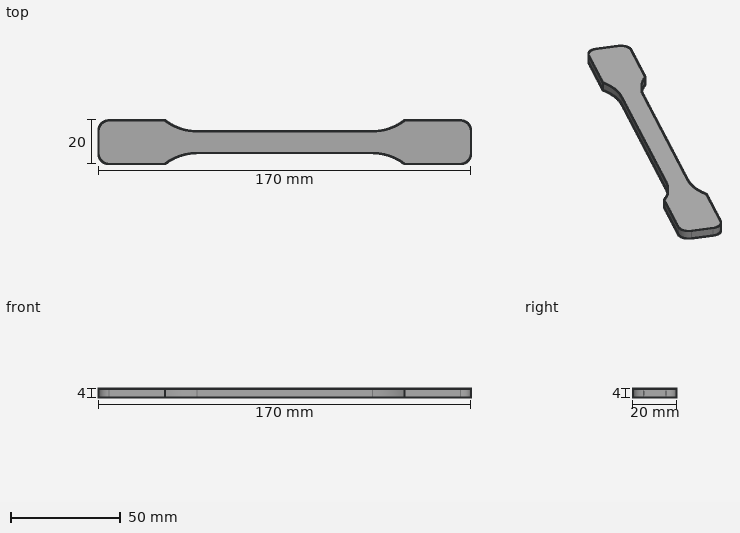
import cadquery as cq
import math

length = 170.0
grip_width = 20.0
thickness = 4.0

gauge_length = 80.0
gauge_width = 10.0
shoulder_radius = 24.0
corner_radius = 5.0

shoulder_rise = (grip_width - gauge_width) / 2
shoulder_angle = math.acos(1 - shoulder_rise / shoulder_radius)


def shoulder_point(side_x, side_y, angle):
    """Point on a shoulder arc, with the angle measured from its gauge end."""
    x = gauge_length / 2 + shoulder_radius * math.sin(angle)
    y = gauge_width / 2 + shoulder_radius * (1 - math.cos(angle))
    return (side_x * x, side_y * y)


def waist_cutter(side_y):
    """Solid that narrows one long edge between the two grips."""
    return (
        cq.Workplane("XY")
        .moveTo(*shoulder_point(-1, side_y, shoulder_angle))
        .threePointArc(
            shoulder_point(-1, side_y, shoulder_angle / 2),
            shoulder_point(-1, side_y, 0),
        )
        .lineTo(*shoulder_point(1, side_y, 0))
        .threePointArc(
            shoulder_point(1, side_y, shoulder_angle / 2),
            shoulder_point(1, side_y, shoulder_angle),
        )
        .close()
        .extrude(thickness / 2, both=True)
    )


result = cq.Workplane("XY").box(length, grip_width, thickness).edges("|Z").fillet(corner_radius)

for side in (-1, 1):
    result = result.cut(waist_cutter(side))